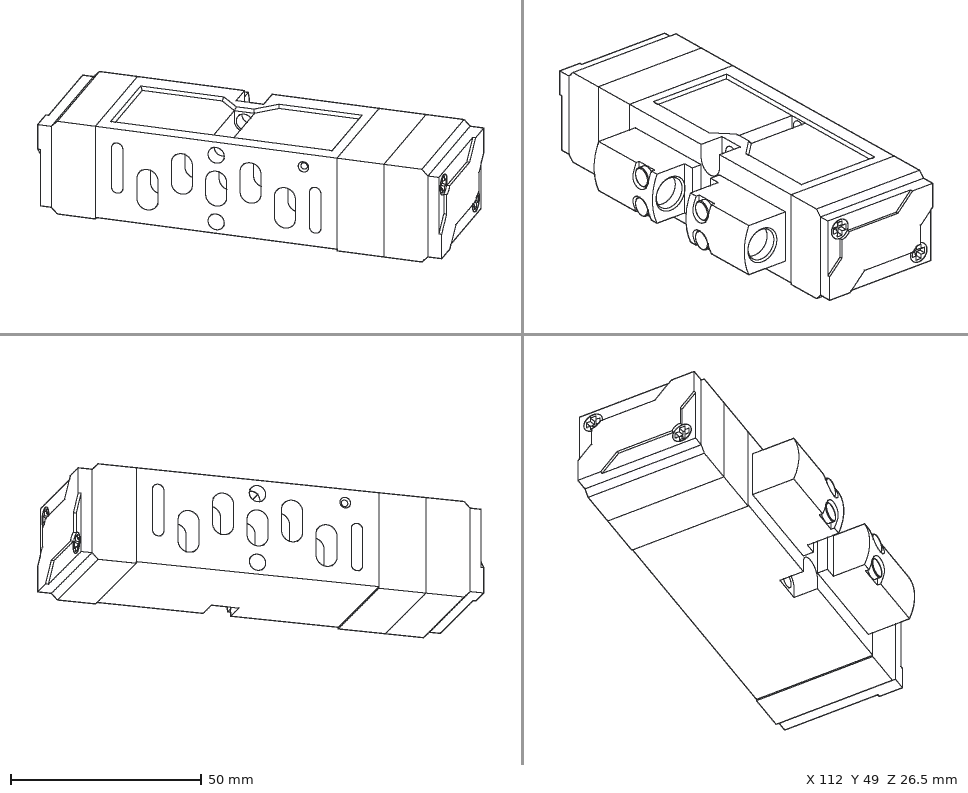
import cadquery as cq
import math


valve_depth = 35.0
cap_height = 26.5
cap_length = 16.0
body_length = 67.0
spacer_length = 13.0
body_bottom_step = 0.5
body_height = cap_height - body_bottom_step
cap_top = cap_height / 2
body_half_length = body_length / 2
left_end = -body_half_length - cap_length

port_width = 5.8
port_pitch = 9.5
center_port_length = 10.0
side_port_length = 11.5
side_port_offset = 2.9
port_depth = 11.2
slot_width = 3.1
slot_x = 27.4
left_slot_length = 14.3
left_slot_z = 2.1
right_slot_length = 13.1
right_slot_z = -2.5
pin_hole_x = 24.2
pin_hole_z = 9.5
pin_mouth_radius = 1.5
pin_mouth_depth = 0.6
pin_hole_radius = 0.9
pin_hole_depth = 5.6

bolt_z = 9.5
bolt_hole_radius = 2.2
bolt_seat_radius = 3.8
bolt_seat_depth = 7.0

recess_half_length = 30.7
recess_front = 4.4
recess_back = 29.2
recess_depth = 0.9
recess_wall_run = 0.7
bay_back = 24.1
bay_half_width = 2.5
bay_run = recess_back - bay_back
groove_radius = 2.8

plate_thickness = 3.8
plate_height = 23.2
plate_half_height = plate_height / 2
cap_chamfer = cap_top - plate_half_height
corner_depth = 0.8
cap_screw_y = 30.9
cap_screw_z = 7.8
cap_screw_radius = 2.8
cap_screw_sink = 0.1
step_end_y = 11.9
step_edge_z = 6.6
step_low_z = -0.5
step_slope = plate_half_height - step_edge_z
step_side_run = valve_depth - cap_screw_y
cross_length = 4.1
cross_width = 1.7
cross_depth = 1.1
cross_wall_run = 0.6

block_inner_x = 7.0
block_outer_x = 31.1
block_length = block_outer_x - block_inner_x
block_half_height = 7.3
block_edge_depth = 12.4
block_depth = 14.0
foot_inner_x = 3.8
foot_depth = 3.0
cable_y = 7.8
cable_radius = 4.4
cable_rim_radius = 4.9
cable_depth = 3.4

screw_x = 12.4
screw_z = 4.4
screw_seat_y = 11.4
screw_length = 1.8
screw_radius = 2.7
screw_chamfer = 0.2
screw_pocket_radius = 3.1


def box(x0, x1, y0, y1, z0, z1):
    """Box between two opposite corners."""
    return cq.Workplane("XY").box(x1 - x0, y1 - y0, z1 - z0, centered=False).translate((x0, y0, z0))


def rod_y(x, z, radius, y0, length):
    """Cylinder along +Y starting at y0."""
    return cq.Workplane(cq.Solid.makeCylinder(radius, length, cq.Vector(x, y0, z), cq.Vector(0, 1, 0)))


def open_channel(x, z, radius, y0, y1, open_z):
    """Round-bottomed channel along Y, with straight walls up (or down) to open_z."""
    walls = box(x - radius, x + radius, y0, y1, min(z, open_z), max(z, open_z))
    return rod_y(x, z, radius, y0, y1 - y0).union(walls)


def front_slot(x, z, width, length):
    """Upright round-ended slot cut into the front face."""
    return cq.Workplane("XZ").center(x, z).slot2D(length, width, 90).extrude(-port_depth)


def recess_outline(inset):
    """Corner points of the label recess, shrunk by inset on every side."""
    slant_shift = inset * math.tan(math.radians(22.5))
    side = recess_half_length - inset
    front = recess_front + inset
    back = recess_back - inset
    bay = bay_back - inset
    bay_narrow = bay_half_width + slant_shift
    bay_wide = bay_half_width + bay_run + slant_shift
    right_half = [(side, front), (side, back), (bay_wide, back), (bay_narrow, bay)]
    left_half = [(-x, y) for x, y in reversed(right_half)]
    return right_half + left_half


def label_recess():
    """Shallow recess with sloped walls."""
    floor_z = cap_top - recess_depth
    levels = ((floor_z, recess_wall_run), (cap_top, 0))
    bottom, top = [
        cq.Wire.makePolygon([cq.Vector(x, y, z) for x, y in recess_outline(inset)], close=True)
        for z, inset in levels
    ]
    return cq.Workplane(cq.Solid.makeLoft([bottom, top], True))


def make_body():
    body = box(-body_half_length, body_half_length, 0, valve_depth, cap_top - body_height, cap_top)

    body = body.cut(label_recess())
    groove_front = recess_front + recess_wall_run
    groove_back = bay_back - recess_wall_run
    groove_top = cap_top - recess_depth
    body = body.cut(open_channel(0, bolt_z, groove_radius, groove_front, groove_back, groove_top))

    for side in (1, -1):
        body = body.cut(rod_y(0, side * bolt_z, bolt_hole_radius, 0, valve_depth))
        seat_front = valve_depth - bolt_seat_depth
        body = body.cut(
            open_channel(0, side * bolt_z, bolt_seat_radius, seat_front, valve_depth, side * cap_top)
        )
        body = body.cut(front_slot(side * port_pitch, side_port_offset, port_width, side_port_length))
        body = body.cut(front_slot(2 * side * port_pitch, -side_port_offset, port_width, side_port_length))

    body = body.cut(front_slot(0, 0, port_width, center_port_length))
    body = body.cut(front_slot(-slot_x, left_slot_z, slot_width, left_slot_length))
    body = body.cut(front_slot(slot_x, right_slot_z, slot_width, right_slot_length))
    mouth_center = cq.Vector(pin_hole_x, 0, pin_hole_z)
    mouth = cq.Solid.makeCone(
        pin_mouth_radius, pin_hole_radius, pin_mouth_depth, mouth_center, cq.Vector(0, 1, 0)
    )
    body = body.cut(cq.Workplane(mouth))
    return body.cut(rod_y(pin_hole_x, pin_hole_z, pin_hole_radius, 0, pin_hole_depth))


def make_spacer():
    start = body_half_length
    return box(start, start + spacer_length, 0, valve_depth, -cap_top, cap_top)


def corner_step():
    """Step in the upper rear corner of the left end face, with its sunk cross-head screw."""
    outline = [
        (step_end_y - step_slope, plate_half_height),
        (step_end_y, step_edge_z),
        (cap_screw_y, step_edge_z),
        (cap_screw_y, step_low_z),
        (valve_depth, step_low_z - step_side_run),
        (valve_depth, plate_half_height),
    ]
    step = cq.Workplane("YZ").polyline(outline).close().extrude(corner_depth)
    face = cq.Workplane("YZ").center(cap_screw_y, cap_screw_z)
    head_depth = corner_depth + cap_screw_sink
    step = step.union(face.circle(cap_screw_radius).extrude(head_depth))
    for length, width in ((cross_length, cross_width), (cross_width, cross_length)):
        arm = (
            face.workplane(offset=head_depth)
            .rect(length, width)
            .workplane(offset=cross_depth)
            .rect(length - 2 * cross_wall_run, width - 2 * cross_wall_run)
            .loft()
        )
        step = step.union(arm)
    return step


def make_left_plate():
    """End plate with the corner step at the upper rear and, turned half over, at the lower front."""
    plate = box(0, plate_thickness, 0, valve_depth, -plate_half_height, plate_half_height)
    step = corner_step()
    opposite = step.rotate((0, valve_depth / 2, 0), (1, valve_depth / 2, 0), 180)
    return plate.cut(step).cut(opposite).translate((left_end, 0, 0))


def make_left_cap():
    """End cap with its outer edges chamfered down to the end plate."""
    inner_x = -body_half_length
    outer_x = left_end + plate_thickness
    upper = [(outer_x, plate_half_height), (outer_x + cap_chamfer, cap_top), (inner_x, cap_top)]
    lower = [(x, -z) for x, z in reversed(upper)]
    return cq.Workplane("XZ").polyline(upper + lower).close().extrude(-valve_depth)


def to_right_end(part):
    """Copy of a left-end part, turned half a turn about Z and moved behind the spacer."""
    turned = part.rotate((0, valve_depth / 2, 0), (0, valve_depth / 2, 1), 180)
    return turned.translate((spacer_length, 0, 0))


def screw_pocket(x, level):
    """Round-bottomed pocket at the crown, open to the top (level 1) or bottom (level -1) of the block."""
    start = valve_depth + screw_seat_y
    end = valve_depth + block_depth
    return open_channel(x, level * screw_z, screw_pocket_radius, start, end, level * block_half_height)


def screw_head(x, level):
    head = rod_y(x, level * screw_z, screw_radius, valve_depth + screw_seat_y, screw_length)
    return head.faces(">Y").chamfer(screw_chamfer)


def make_block(side):
    """Pilot block; side is -1 for the left one and 1 for the right one."""
    start = block_inner_x if side > 0 else -block_outer_x
    block = (
        cq.Workplane("YZ")
        .moveTo(0, -block_half_height)
        .lineTo(block_edge_depth, -block_half_height)
        .threePointArc((block_depth, 0), (block_edge_depth, block_half_height))
        .lineTo(0, block_half_height)
        .close()
        .extrude(block_length)
        .translate((start, valve_depth, 0))
    )

    foot_edges = sorted((side * foot_inner_x, side * block_inner_x))
    block = block.union(
        box(*foot_edges, valve_depth, valve_depth + foot_depth, -block_half_height, block_half_height)
    )

    rim = cable_rim_radius - cable_radius
    cable = cq.Workplane("YZ").center(valve_depth + cable_y, 0).circle(cable_radius).extrude(cable_depth)
    mouth = cq.Workplane(
        cq.Solid.makeCone(
            cable_rim_radius, cable_radius, rim, cq.Vector(0, valve_depth + cable_y, 0), cq.Vector(1, 0, 0)
        )
    )
    block = block.cut(cable.union(mouth).translate((start, 0, 0)))

    for level in (1, -1):
        block = block.cut(screw_pocket(side * screw_x, level)).union(screw_head(side * screw_x, level))
    return block


body = make_body()
spacer = make_spacer()
end_caps = [make_left_cap(), to_right_end(make_left_cap())]
end_plates = [make_left_plate(), to_right_end(make_left_plate())]
blocks = [make_block(side) for side in (-1, 1)]

bodies = [body, spacer, *end_caps, *end_plates, *blocks]
result = cq.Compound.makeCompound([part.solids().val() for part in bodies])